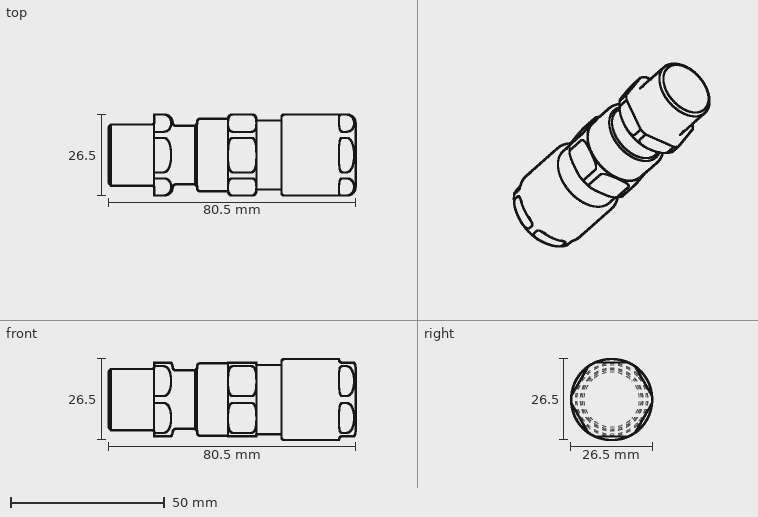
import cadquery as cq
import math


SIDES = 6
ACROSS_FLATS = 24.0
CORNER_RADIUS = 26.5 / 2
LARGE_FILLET = 3.0
SMALL_FILLET = 1.0

ENTRY_HEX_START = 14.8
ENTRY_HEX_END = 20.9
SHOULDER_START = 28.2
COLLAR_START = 28.8
MIDDLE_HEX_START = 38.9
MIDDLE_HEX_END = 48.1
NUT_START = 56.25
FLATS_START = 75.1
TOTAL_LENGTH = 80.5

THREAD_RADIUS = 20.0 / 2
THREAD_TIP_RADIUS = 18.0 / 2
THREAD_CHAMFER_LENGTH = 0.8
THREAD_ROOT_FILLET = 0.5
NECK_RADIUS = 19.15 / 2
SHOULDER_RADIUS = 20.5 / 2

COLLAR_RADIUS = 23.65 / 2
MIDDLE_HEX_FILLET = 1.5
SPIGOT_RADIUS = 22.6 / 2

CUTTER_CLEARANCE = 0.8


def revolve_about_x(profile):
    """Turn a closed (X, radius) outline once around the X axis."""
    return profile.close().revolve(360, (0, 0, 0), (1, 0, 0))


def hex_prism(start, end):
    """Hexagonal bar along X with two of its flats facing +Z and -Z."""
    across_corners = ACROSS_FLATS / math.cos(math.pi / SIDES)
    return (
        cq.Workplane("YZ", origin=(start, 0, 0))
        .polygon(SIDES, across_corners)
        .extrude(end - start)
    )


def cylinder(start, end, radius):
    """Round bar along X."""
    return cq.Workplane("YZ", origin=(start, 0, 0)).circle(radius).extrude(end - start)


def make_entry_fitting():
    """Thread, hexagon, neck and conical shoulder turned as one piece."""
    round_x = ENTRY_HEX_END - LARGE_FILLET
    round_radius = CORNER_RADIUS - LARGE_FILLET
    root_radius = NECK_RADIUS + SMALL_FILLET
    center_distance = LARGE_FILLET + SMALL_FILLET
    tilt = math.asin((root_radius - round_radius) / center_distance)
    root_x = round_x + center_distance * math.cos(tilt)

    def on_round(angle):
        return (
            round_x + LARGE_FILLET * math.cos(angle),
            round_radius + LARGE_FILLET * math.sin(angle),
        )

    def on_neck_root(angle):
        return (
            root_x - SMALL_FILLET * math.cos(angle),
            root_radius - SMALL_FILLET * math.sin(angle),
        )

    def on_thread_root(angle):
        return (
            ENTRY_HEX_START - THREAD_ROOT_FILLET * (1 - math.sin(angle)),
            THREAD_RADIUS + THREAD_ROOT_FILLET * (1 - math.cos(angle)),
        )

    quarter = math.pi / 2
    turned = revolve_about_x(
        cq.Workplane("XY")
        .moveTo(0, 0)
        .lineTo(0, THREAD_TIP_RADIUS)
        .lineTo(THREAD_CHAMFER_LENGTH, THREAD_RADIUS)
        .lineTo(*on_thread_root(0))
        .threePointArc(on_thread_root(quarter / 2), on_thread_root(quarter))
        .lineTo(ENTRY_HEX_START, CORNER_RADIUS)
        .lineTo(*on_round(quarter))
        .threePointArc(on_round((quarter + tilt) / 2), on_round(tilt))
        .threePointArc(on_neck_root((quarter + tilt) / 2), on_neck_root(quarter))
        .lineTo(SHOULDER_START, NECK_RADIUS)
        .lineTo(COLLAR_START, SHOULDER_RADIUS)
        .lineTo(COLLAR_START, 0)
    )
    return turned.intersect(hex_prism(0, COLLAR_START))


def make_middle_body():
    """Collar, hexagon and plain spigot in one piece."""
    collar = cylinder(COLLAR_START, MIDDLE_HEX_START, COLLAR_RADIUS)
    collar = collar.faces("<X").edges().fillet(SMALL_FILLET)
    hex_round = cylinder(MIDDLE_HEX_START, MIDDLE_HEX_END, CORNER_RADIUS)
    hex_round = hex_round.edges("%CIRCLE").fillet(MIDDLE_HEX_FILLET)
    hexagon = hex_round.intersect(hex_prism(MIDDLE_HEX_START, MIDDLE_HEX_END))
    spigot = cylinder(MIDDLE_HEX_END, NUT_START, SPIGOT_RADIUS)
    return collar.union(hexagon).union(spigot)


def make_flat_cutter():
    """Tool for the flat on top of the nut, with a rounded inner corner."""
    flat_height = ACROSS_FLATS / 2
    clear_height = CORNER_RADIUS + CUTTER_CLEARANCE
    corner_offset = SMALL_FILLET * (1 - math.sqrt(0.5))
    return (
        cq.Workplane("XZ")
        .moveTo(FLATS_START, clear_height)
        .lineTo(FLATS_START, flat_height + SMALL_FILLET)
        .threePointArc(
            (FLATS_START + corner_offset, flat_height + corner_offset),
            (FLATS_START + SMALL_FILLET, flat_height),
        )
        .lineTo(TOTAL_LENGTH, flat_height)
        .lineTo(TOTAL_LENGTH, clear_height)
        .close()
        .extrude(CORNER_RADIUS, both=True)
    )


def make_back_nut():
    """Round nut with six wrench flats at its far end."""
    nut = (
        cylinder(NUT_START, TOTAL_LENGTH, CORNER_RADIUS)
        .faces("<X").edges().fillet(SMALL_FILLET)
        .faces(">X").edges().fillet(LARGE_FILLET)
    )
    cutter = make_flat_cutter()
    for index in range(SIDES):
        nut = nut.cut(cutter.rotate((0, 0, 0), (1, 0, 0), 360 / SIDES * index))
    return nut


entry_fitting = make_entry_fitting()
middle_body = make_middle_body()
back_nut = make_back_nut()

result = cq.Compound.makeCompound([entry_fitting.val(), middle_body.val(), back_nut.val()])